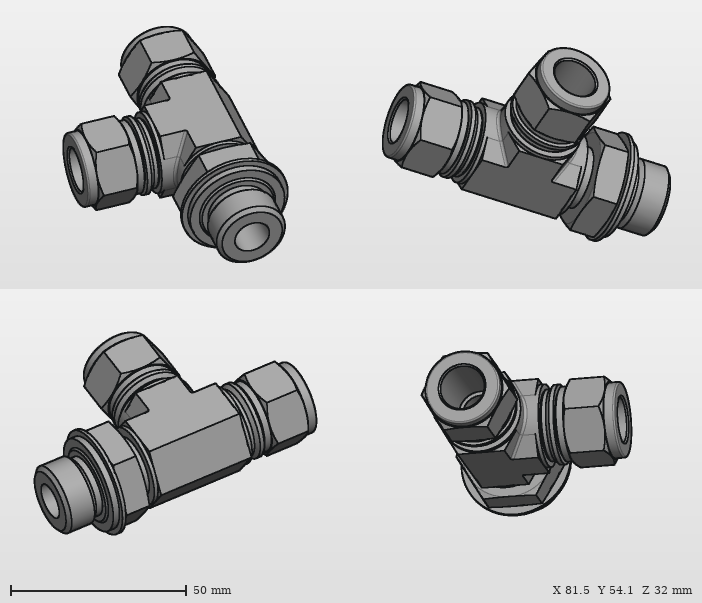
import cadquery as cq
import math


tube_end_reach = 38.1
stud_end_reach = 43.4

body_flats = 23.8
hex_reach = 14.8
body_reach = 16.05
inner_corner_radius = 0.8
diagonal_tolerance = 0.01

bore_diameter = 10.4
socket_diameter = 12.9
socket_depth = 22.8
socket_lead_in = 0.5

nose_diameter = 21.8
nose_rounding = 0.5
nut_start = 3.1
nut_end = 15.0
nut_flats = 22.3
nut_chamfer_degrees = 30
skirt_diameter = 21.5
skirt_end = 17.1
gap_diameter = 18.9
flange_start = 17.8
flange_end = 19.1
flange_diameter = 23.0
shank_diameter = 20.6
shank_end = 21.6
undercut_diameter = 19.8

neck_diameter = 18.2
lock_nut_start = 19.2
lock_nut_end = 27.7
lock_nut_flats = 27.05
lock_nut_chamfer_degrees = 15
washer_end = 28.85
washer_diameter = 32.0
seal_holder_end = 30.9
seal_holder_diameter = 28.5
seal_end = 31.45
seal_base_diameter = 23.0
seal_tip_diameter = 21.8
thread_runout_start = 33.5
thread_diameter = 20.8
thread_tip_diameter = 18.2
thread_tip_chamfer = 1.15


def cylinder(start, end, diameter):
    """Cylinder on the X axis between two stations."""
    return cq.Workplane("YZ").workplane(offset=start).circle(diameter / 2).extrude(end - start)


def turned(stations):
    """Solid of revolution about X from (x, diameter) pairs."""
    outline = [(x, diameter / 2) for x, diameter in stations]
    outline = [(stations[0][0], 0)] + outline + [(stations[-1][0], 0)]
    return cq.Workplane("XY").polyline(outline).close().revolve(360, (0, 0, 0), (1, 0, 0))


def hexagon_nut(start, end, flats, chamfer_degrees):
    """Hexagon on the X axis with flats facing +-Z and corners chamfered down to the inscribed circle."""
    corners = flats / math.cos(math.pi / 6)
    chamfer = (corners - flats) / 2 * math.tan(math.radians(chamfer_degrees))
    prism = cq.Workplane("YZ").workplane(offset=start).polygon(6, corners).extrude(end - start)
    envelope = turned([
        (start, flats),
        (start + chamfer, corners),
        (end - chamfer, corners),
        (end, flats),
    ])
    return prism.intersect(envelope)


def body_arm(start, end, plus_y_corner_sharp):
    """Hexagonal bar along X; corners at -Y and, unless sharp, +Y follow the inscribed circle."""
    radius = body_flats / 2
    corner = radius / math.cos(math.pi / 6)
    tangent_y = radius * math.cos(math.pi / 6)
    tangent_z = radius * math.sin(math.pi / 6)
    outline = (
        cq.Workplane("YZ").workplane(offset=start)
        .moveTo(corner / 2, radius)
        .lineTo(-corner / 2, radius)
        .lineTo(-tangent_y, tangent_z)
        .threePointArc((-radius, 0), (-tangent_y, -tangent_z))
        .lineTo(-corner / 2, -radius)
        .lineTo(corner / 2, -radius)
    )
    if plus_y_corner_sharp:
        outline = outline.lineTo(corner, 0)
    else:
        outline = outline.lineTo(tangent_y, -tangent_z).threePointArc((radius, 0), (tangent_y, tangent_z))
    return outline.close().extrude(end - start)


def to_branch(shape):
    """Turn a shape built along +X so that it points along -Y."""
    return shape.rotate((0, 0, 0), (0, 0, 1), -90)


def to_run_left(shape):
    """Turn a shape built along +X so that it points along -X."""
    return shape.rotate((0, 0, 0), (0, 0, 1), 180)


def tee_body():
    """Hexagonal tee with blended inner corners and round collars."""
    run = body_arm(-hex_reach, hex_reach, plus_y_corner_sharp=True)
    branch = to_branch(body_arm(0, hex_reach, plus_y_corner_sharp=False))
    tee = run.union(branch)
    inner_edges = []
    for edge in tee.edges().vals():
        center = edge.Center()
        if center.y < -body_flats / 4 and abs(center.y + abs(center.x)) < diagonal_tolerance:
            inner_edges.append(edge)
    tee = tee.newObject(inner_edges).fillet(inner_corner_radius)
    collar = cylinder(hex_reach, body_reach, body_flats)
    return tee.union(collar).union(to_run_left(collar)).union(to_branch(collar))


def tube_end():
    """Compression nut, ferrule skirt and shank, pointing along +X."""
    mouth = tube_end_reach
    nose = cylinder(mouth - nut_start, mouth, nose_diameter).faces(">X").edges().fillet(nose_rounding)
    nut = hexagon_nut(mouth - nut_end, mouth - nut_start, nut_flats, nut_chamfer_degrees)
    flange_slope = (flange_diameter - shank_diameter) / 2
    shank = turned([
        (hex_reach, undercut_diameter),
        (mouth - shank_end, undercut_diameter),
        (mouth - shank_end, shank_diameter),
        (mouth - flange_end - flange_slope, shank_diameter),
        (mouth - flange_end, flange_diameter),
        (mouth - flange_start, flange_diameter),
        (mouth - flange_start, gap_diameter),
        (mouth - skirt_end, gap_diameter),
        (mouth - skirt_end, skirt_diameter),
        (mouth - nut_end, skirt_diameter),
    ])
    return nose.union(nut).union(shank)


def tube_socket():
    """Tube pocket with a lead-in chamfer, opening along +X, and the flow bore behind it."""
    lead_in_diameter = socket_diameter + 2 * socket_lead_in
    pocket = turned([
        (tube_end_reach - socket_depth, socket_diameter),
        (tube_end_reach - socket_lead_in, socket_diameter),
        (tube_end_reach, lead_in_diameter),
    ])
    return pocket.union(cylinder(0, tube_end_reach, bore_diameter))


def stud_end():
    """Neck, lock nut, washer, seal and threaded stud along +X."""
    runout = (thread_diameter - neck_diameter) / 2
    stud = turned([
        (hex_reach, neck_diameter),
        (lock_nut_end, neck_diameter),
        (lock_nut_end, washer_diameter),
        (washer_end, washer_diameter),
        (washer_end, seal_holder_diameter),
        (seal_holder_end, seal_holder_diameter),
        (seal_holder_end, seal_base_diameter),
        (seal_end, seal_tip_diameter),
        (seal_end, neck_diameter),
        (thread_runout_start, neck_diameter),
        (thread_runout_start + runout, thread_diameter),
        (stud_end_reach - thread_tip_chamfer, thread_diameter),
        (stud_end_reach, thread_tip_diameter),
    ])
    lock_nut = hexagon_nut(lock_nut_start, lock_nut_end, lock_nut_flats, lock_nut_chamfer_degrees)
    return stud.union(lock_nut)


result = (
    tee_body()
    .union(stud_end())
    .union(to_run_left(tube_end()))
    .union(to_branch(tube_end()))
    .cut(cylinder(0, stud_end_reach, bore_diameter))
    .cut(to_run_left(tube_socket()))
    .cut(to_branch(tube_socket()))
)